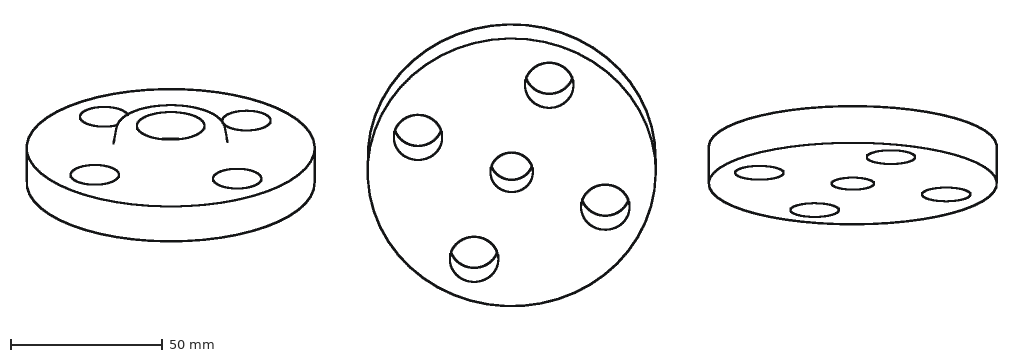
import cadquery as cq
import math

flange_diameter = 95.2
flange_thickness = 12.7
overall_height = 20.6

hub_base_diameter = 38.3
hub_taper_angle = 10.0
hub_fillet_radius = 1.5

bore_diameter = 14.0
socket_diameter = 22.4
socket_depth = 9.5

bolt_hole_count = 4
bolt_hole_diameter = 16.0
bolt_circle_diameter = 66.7

hub_height = overall_height - flange_thickness
hub_base_radius = hub_base_diameter / 2
hub_top_radius = hub_base_radius - hub_height * math.tan(math.radians(hub_taper_angle))


def make_body():
    """Flange disc and tapered hub, revolved as one profile about Z."""
    flange_radius = flange_diameter / 2
    return (
        cq.Workplane("XZ")
        .lineTo(flange_radius, 0)
        .lineTo(flange_radius, flange_thickness)
        .lineTo(hub_base_radius, flange_thickness)
        .lineTo(hub_top_radius, overall_height)
        .lineTo(0, overall_height)
        .close()
        .revolve(360, (0, 0, 0), (0, 1, 0))
    )


def round_hub(body):
    """Round the hub's top rim and blend its foot into the flange face."""
    hub_edges = cq.selectors.BoxSelector(
        (-hub_base_diameter, -hub_base_diameter, flange_thickness - hub_fillet_radius),
        (hub_base_diameter, hub_base_diameter, overall_height + hub_fillet_radius),
        boundingbox=True,
    )
    return body.edges(hub_edges).edges("%CIRCLE").fillet(hub_fillet_radius)


def cut_bore(body):
    """Through bore with a wider socket sunk from the hub's top face."""
    return body.faces(">Z").workplane().cboreHole(bore_diameter, socket_diameter, socket_depth)


def cut_bolt_holes(body):
    """Evenly spaced through holes on the bolt circle."""
    return (
        body.faces("<Z")
        .workplane()
        .polarArray(bolt_circle_diameter / 2, 0, 360, bolt_hole_count)
        .hole(bolt_hole_diameter)
    )


result = cut_bolt_holes(cut_bore(round_hub(make_body())))